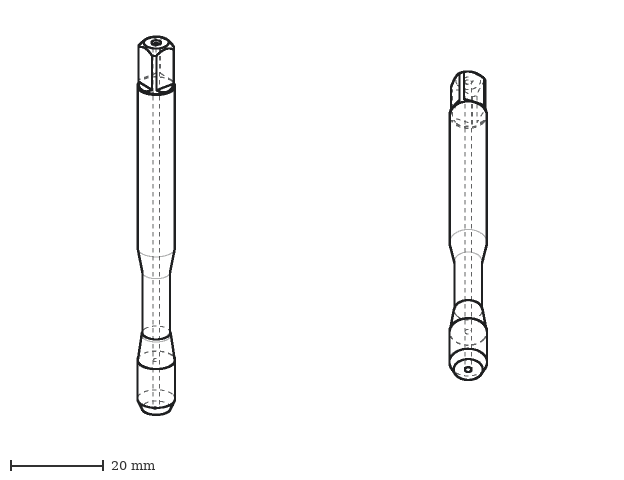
import cadquery as cq

TOTAL_LENGTH = 90.0
LEAD_LENGTH = 2.25
HEAD_LENGTH = 11.8
FLARE_TOP = 18.0
COLLAR_TOP = 18.5
NECK_TOP = 33.5
SHANK_BOTTOM = 39.4
SHANK_TOP = 79.3
FLAT_BOTTOM = 80.4

HEAD_DIAMETER = 8.2
TIP_DIAMETER = 6.3
FLARE_DIAMETER = 8.0
COLLAR_DIAMETER = 6.4
NECK_DIAMETER = 6.0
SHANK_DIAMETER = 8.1
DRIVE_DIAMETER = 7.7
DRIVE_END_DIAMETER = 5.4
COOLANT_DIAMETER = 1.4
CENTER_MOUTH_DIAMETER = 2.1
CENTER_DEPTH = 0.5

SQUARE_WIDTH = 6.1
EDGE_BEVEL = (SHANK_DIAMETER - DRIVE_DIAMETER) / 2
END_BEVEL = (DRIVE_DIAMETER - DRIVE_END_DIAMETER) / 2


def turned(stations):
    """Solid of revolution about Z through (diameter, height) stations, listed upward."""
    outline = [(diameter / 2, height) for diameter, height in stations]
    bottom = stations[0][1]
    top = stations[-1][1]
    profile = cq.Workplane("XZ").polyline([(0, bottom), *outline, (0, top)]).close()
    return profile.revolve(360, (0, 0, 0), (0, 1, 0))


def coolant_bore():
    """Axial passage running the full length of the tool."""
    return cq.Workplane("XY").circle(COOLANT_DIAMETER / 2).extrude(TOTAL_LENGTH)


def center_countersink():
    """Conical mouth of the passage at the drive end."""
    return turned([
        (COOLANT_DIAMETER, TOTAL_LENGTH - CENTER_DEPTH),
        (CENTER_MOUTH_DIAMETER, TOTAL_LENGTH),
    ])


def square_drive_envelope():
    """Square prism above a 45 degree pyramid ramp that spreads down past the shank."""
    ramp_run = SHANK_DIAMETER
    ramp_base = SQUARE_WIDTH + 2 * ramp_run
    square = (
        cq.Workplane("XY", origin=(0, 0, FLAT_BOTTOM))
        .rect(SQUARE_WIDTH, SQUARE_WIDTH)
        .extrude(TOTAL_LENGTH - FLAT_BOTTOM)
    )
    ramp = (
        cq.Workplane("XY", origin=(0, 0, FLAT_BOTTOM - ramp_run))
        .rect(ramp_base, ramp_base)
        .workplane(offset=ramp_run)
        .rect(SQUARE_WIDTH, SQUARE_WIDTH)
        .loft(ruled=True)
    )
    body_below = (
        cq.Workplane("XY")
        .rect(ramp_base, ramp_base)
        .extrude(FLAT_BOTTOM - ramp_run)
    )
    return body_below.union(ramp).union(square)


def make_cutting_head():
    """Cylindrical head with a conical lead-in at its tip."""
    head = turned([
        (TIP_DIAMETER, 0),
        (HEAD_DIAMETER, LEAD_LENGTH),
        (HEAD_DIAMETER, HEAD_LENGTH),
    ])
    return head.cut(coolant_bore())


def make_shank():
    """Flared neck and round shank ending in a bevelled square drive."""
    shank = turned([
        (FLARE_DIAMETER, HEAD_LENGTH),
        (COLLAR_DIAMETER, FLARE_TOP),
        (NECK_DIAMETER, COLLAR_TOP),
        (NECK_DIAMETER, NECK_TOP),
        (SHANK_DIAMETER, SHANK_BOTTOM),
        (SHANK_DIAMETER, SHANK_TOP),
        (DRIVE_DIAMETER, SHANK_TOP + EDGE_BEVEL),
        (DRIVE_DIAMETER, TOTAL_LENGTH - END_BEVEL),
        (DRIVE_END_DIAMETER, TOTAL_LENGTH),
    ])
    shank = shank.intersect(square_drive_envelope())
    return shank.cut(coolant_bore()).cut(center_countersink())


cutting_head = make_cutting_head()
shank = make_shank()

result = cq.Compound.makeCompound([cutting_head.val(), shank.val()])